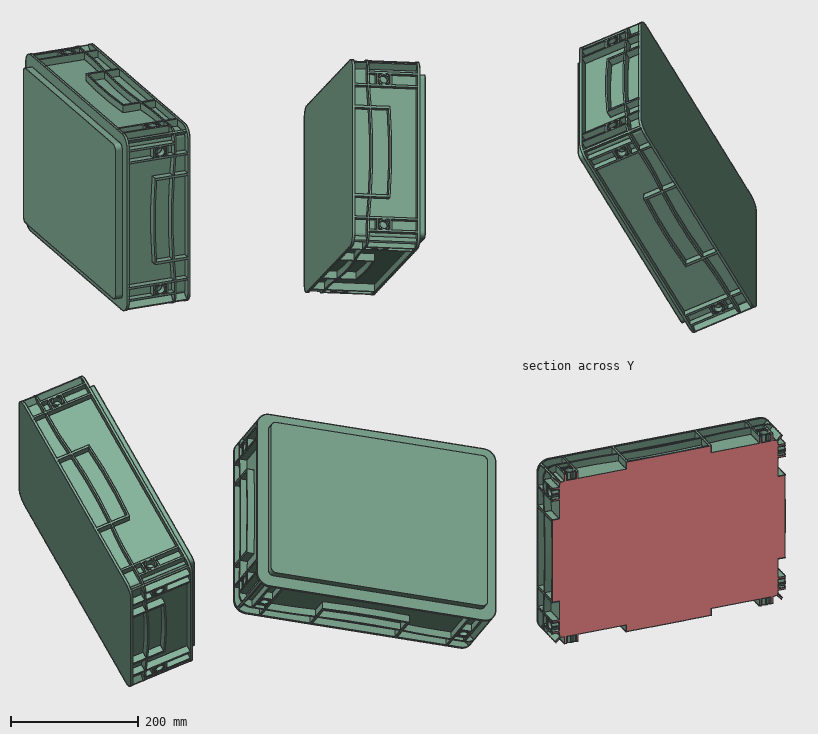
import cadquery as cq
import math

length = 399.0
width = 299.0
total_height = 120.0
foot_height = 12.0
body_height = total_height - foot_height
corner_radius = 20.0

rib_depth = 12.0
core_radius = corner_radius - rib_depth
foot_inset = 18.5
foot_radius = 8.8

thin_rib_thickness = 2.8
thick_rib_thickness = 3.0

back_y = total_height / 2
rim_thickness = 4.0
ring_start = 24.0
lower_rim_start = body_height - rim_thickness

post_inset = 21.0
boss_rib_inset = 41.5

boss_bay_start = 40.5
boss_bay_length = 19.5
boss_hole_radius = 6.8
boss_radius = 9.0
boss_web_thickness = 2.0
boss_web_count = 8
boss_inset = (post_inset + thick_rib_thickness + boss_rib_inset) / 2

grip_inner_half = 69.0
grip_rib_thickness = 4.0
grip_bar_drop = 27.5

sag_depth = 5.5
sag_arc_half = 87.0
sag_half = 129.0


def rounded_block(x_size, z_size, radius, start, end):
    """Block with rounded upright edges, between two distances from the +Y end."""
    block = cq.Workplane("XY").box(x_size, end - start, z_size)
    return block.edges("|Y").fillet(radius).translate((0, back_y - (start + end) / 2, 0))


def wall_bar(u_center, u_size, start, end):
    """Straight rib in wall coordinates: u along the wall, v up toward +Y."""
    bar = cq.Workplane("XY").box(u_size, end - start, corner_radius)
    return bar.translate((u_center, back_y - (start + end) / 2, -corner_radius / 2))


def sag_at(u):
    """Sag of the ring at a distance u from the middle of the wall."""
    middle_drop = sag_depth * sag_arc_half / sag_half
    ease_length = sag_half - sag_arc_half
    if abs(u) <= sag_arc_half:
        return sag_depth - middle_drop * (u / sag_arc_half) ** 2
    return (sag_depth - middle_drop) * ((sag_half - abs(u)) / ease_length) ** 2


def sag_point(u, start):
    return (u, back_y - start - sag_at(u))


def sag_ring(half_length):
    """Ring rib across one wall, straight near the corners and sagging in the middle."""
    ease_middle = (sag_arc_half + sag_half) / 2
    end = ring_start + thin_rib_thickness
    upper_y = back_y - ring_start
    lower_y = back_y - end
    return (
        cq.Workplane("XY")
        .moveTo(-half_length, upper_y)
        .lineTo(-sag_half, upper_y)
        .threePointArc(sag_point(-ease_middle, ring_start), sag_point(-sag_arc_half, ring_start))
        .threePointArc(sag_point(0, ring_start), sag_point(sag_arc_half, ring_start))
        .threePointArc(sag_point(ease_middle, ring_start), (sag_half, upper_y))
        .lineTo(half_length, upper_y)
        .lineTo(half_length, lower_y)
        .lineTo(sag_half, lower_y)
        .threePointArc(sag_point(ease_middle, end), sag_point(sag_arc_half, end))
        .threePointArc(sag_point(0, end), sag_point(-sag_arc_half, end))
        .threePointArc(sag_point(-ease_middle, end), (-sag_half, lower_y))
        .lineTo(-half_length, lower_y)
        .close()
        .extrude(-corner_radius)
    )


def grip_frame():
    """Two uprights from the upper rim, joined by a bar curved like the ring."""
    outer_half = grip_inner_half + grip_rib_thickness
    bar_start = ring_start + thin_rib_thickness + grip_bar_drop
    bar_end = bar_start + thin_rib_thickness

    def plate(half, end):
        return (
            cq.Workplane("XY")
            .moveTo(-half, back_y)
            .lineTo(*sag_point(-half, end))
            .threePointArc(sag_point(0, end), sag_point(half, end))
            .lineTo(half, back_y)
            .close()
            .extrude(-corner_radius)
        )

    return plate(outer_half, bar_end).cut(plate(grip_inner_half, bar_start))


def boss(u):
    """Tube held by radial webs in a bay that is closed by a cross rib above and below."""
    bay_end = boss_bay_start + boss_bay_length
    bay_width = boss_rib_inset - post_inset
    v = back_y - (boss_bay_start + bay_end) / 2
    tube = cq.Workplane("XY").center(u, v).circle(boss_radius).extrude(-corner_radius)
    for web in range(boss_web_count // 2):
        bar = (
            cq.Workplane("XY")
            .center(u, v)
            .transformed(rotate=(0, 0, web * 360 / boss_web_count))
            .rect(2 * boss_bay_length, boss_web_thickness)
            .extrude(-corner_radius)
        )
        tube = tube.union(bar)
    hole = cq.Workplane("XY").center(u, v).circle(boss_hole_radius).extrude(-corner_radius)
    spokes = tube.intersect(wall_bar(u, bay_width, boss_bay_start, bay_end)).cut(hole)
    upper_rib = wall_bar(u, bay_width, boss_bay_start - thin_rib_thickness, boss_bay_start)
    lower_rib = wall_bar(u, bay_width, bay_end, bay_end + thin_rib_thickness)
    return spokes.union(upper_rib).union(lower_rib)


def wall_ribs(wall_length):
    """All ribs of one wall, with the wall's outer face on the local XY plane."""
    half_length = wall_length / 2
    ribs = sag_ring(half_length).union(grip_frame())
    for side in (-1, 1):
        post_u = side * (half_length - post_inset - thick_rib_thickness / 2)
        boss_rib_u = side * (half_length - boss_rib_inset - thick_rib_thickness / 2)
        ribs = ribs.union(wall_bar(post_u, thick_rib_thickness, ring_start, body_height))
        ribs = ribs.union(wall_bar(boss_rib_u, thick_rib_thickness, 0, body_height))
        ribs = ribs.union(boss(side * (half_length - boss_inset)))
    return ribs


def diagonal_rib(x_side, z_side):
    """Upright rib running from the core's round corner out to the box corner."""
    reach = 2 * corner_radius
    rib = cq.Workplane("XY").box(reach, body_height, thick_rib_thickness)
    rib = rib.translate((reach / 2, 0, 0))
    heading = math.degrees(math.atan2(-z_side, x_side))
    return rib.rotate((0, 0, 0), (0, 1, 0), heading).translate((
        x_side * (length / 2 - corner_radius),
        back_y - body_height / 2,
        z_side * (width / 2 - corner_radius),
    ))


envelope = rounded_block(length, width, corner_radius, 0, body_height)
core = rounded_block(length - 2 * rib_depth, width - 2 * rib_depth, core_radius, 0, body_height)
upper_rim = rounded_block(length, width, corner_radius, 0, rim_thickness)
lower_rim = rounded_block(length, width, corner_radius, lower_rim_start, body_height)

long_wall = wall_ribs(length).translate((0, 0, width / 2))
short_wall = wall_ribs(width).translate((0, 0, length / 2))
ribbed_core = core
for wall, turn in ((long_wall, 0), (short_wall, 90), (long_wall, 180), (short_wall, 270)):
    ribbed_core = ribbed_core.union(wall.rotate((0, 0, 0), (0, 1, 0), turn))
for x_side in (-1, 1):
    for z_side in (-1, 1):
        ribbed_core = ribbed_core.union(diagonal_rib(x_side, z_side))
body = ribbed_core.intersect(envelope).union(upper_rim).union(lower_rim)

foot = rounded_block(
    length - 2 * foot_inset, width - 2 * foot_inset, foot_radius, body_height, total_height
)
result = body.union(foot)